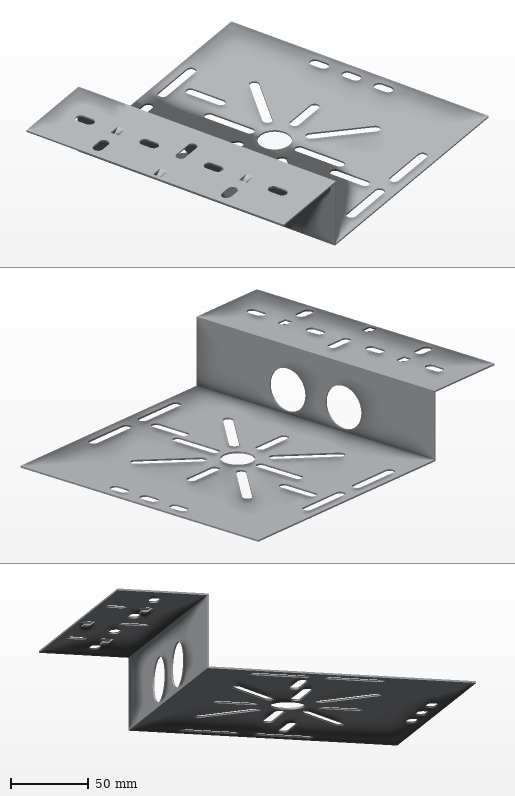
import cadquery as cq
import math

width = 200.0
length = 240.0
height = 49.5
sheet = 1.2
shelf_overhang = 60.0

back_y = length / 2
front_y = -length / 2
wall_front_y = front_y + shelf_overhang
wall_back_y = wall_front_y + sheet
shelf_bottom = height - sheet

long_slot_width = 6.7
short_slot_width = 7.2
short_slot = 14.0
slot_pitch = 25.0

hub_y = back_y - width / 2
hub_diameter = 22.5
star_distance = 35.0
star_length_x = 38.0
star_length_y = 30.0
diagonal_distance = 45.0
diagonal_length = 49.5

back_row_y = back_y - 10.0

side_slot_length = 39.8
side_slot_x = width / 2 - 10.0
side_slots_y = 16.0
side_slot_pitch = 50.2

cross_slot_length = 30.0
cross_slot_x = 65.0
left_cross_slot_y = hub_y + 17.3
right_cross_slot_y = hub_y - 9.8

cable_hole_diameter = 30.0
cable_hole_x = 23.5
cable_hole_z = 18.0

shelf_row_y = front_y + 31.0
center_slot_length = 20.2
center_slot_y = front_y + 37.0
front_slot_x = 2 * slot_pitch
front_slot_y = front_y + 12.0

tab_width = 6.0
tab_opening = 8.5
tab_gap = 0.7
tab_drop = 3.0
tab_ramp = 3.5
side_tab_x = 2 * slot_pitch
side_tab_y = front_y + 36.2
center_tab_y = front_y + 10.8


def slot(x, y, slot_length, angle=0.0, slot_width=long_slot_width):
    """Vertical cutter for a round-ended slot, tall enough for any level of the part."""
    return cq.Workplane("XY").center(x, y).slot2D(slot_length, slot_width, angle).extrude(height)


def make_sheet():
    profile = [
        (back_y, 0),
        (wall_front_y, 0),
        (wall_front_y, shelf_bottom),
        (front_y, shelf_bottom),
        (front_y, height),
        (wall_back_y, height),
        (wall_back_y, sheet),
        (back_y, sheet),
    ]
    return cq.Workplane("YZ").polyline(profile).close().extrude(width / 2, both=True)


def cut_base(part):
    part = part.cut(cq.Workplane("XY").center(0, hub_y).circle(hub_diameter / 2).extrude(sheet))

    for side in (-1, 1):
        part = part.cut(slot(side * star_distance, hub_y, star_length_x))
        part = part.cut(slot(0, hub_y + side * star_distance, star_length_y, 90))

    for angle in (45, 135, 225, 315):
        x = diagonal_distance * math.cos(math.radians(angle))
        y = hub_y + diagonal_distance * math.sin(math.radians(angle))
        part = part.cut(slot(x, y, diagonal_length, angle))

    for column in (-1, 0, 1):
        part = part.cut(slot(column * slot_pitch, back_row_y, short_slot, 0, short_slot_width))

    for side in (-1, 1):
        for end in (-1, 1):
            y = side_slots_y + end * side_slot_pitch / 2
            part = part.cut(slot(side * side_slot_x, y, side_slot_length, 90))

    part = part.cut(slot(-cross_slot_x, left_cross_slot_y, cross_slot_length))
    return part.cut(slot(cross_slot_x, right_cross_slot_y, cross_slot_length))


def cut_wall(part):
    holes = (
        cq.Workplane("XZ", origin=(0, wall_back_y, 0))
        .pushPoints([(-cable_hole_x, cable_hole_z), (cable_hole_x, cable_hole_z)])
        .circle(cable_hole_diameter / 2)
        .extrude(sheet)
    )
    return part.cut(holes)


def cut_shelf(part):
    for column in (-3, -1, 1, 3):
        part = part.cut(slot(column * slot_pitch, shelf_row_y, short_slot, 0, short_slot_width))
    for side in (-1, 1):
        part = part.cut(slot(side * front_slot_x, front_slot_y, short_slot, 90, short_slot_width))
    return part.cut(slot(0, center_slot_y, center_slot_length, 90))


def add_tab(part, x, root_y):
    """Cut a window in the shelf and fold its tab down, parallel to the shelf."""
    window = cq.Workplane("XY", origin=(x, root_y - tab_opening / 2, shelf_bottom)).box(
        tab_width, tab_opening, sheet, centered=(True, True, False)
    )
    ramp_end_y = root_y - tab_ramp
    tip_y = root_y - tab_opening + tab_gap
    profile = [
        (root_y, height),
        (ramp_end_y, height - tab_drop),
        (tip_y, height - tab_drop),
        (tip_y, shelf_bottom - tab_drop),
        (ramp_end_y, shelf_bottom - tab_drop),
        (root_y, shelf_bottom),
    ]
    tab = (
        cq.Workplane("YZ", origin=(x, 0, 0))
        .polyline(profile)
        .close()
        .extrude(tab_width / 2, both=True)
    )
    return part.cut(window).union(tab)


result = cut_shelf(cut_wall(cut_base(make_sheet())))
for tab_x, tab_y in ((-side_tab_x, side_tab_y), (side_tab_x, side_tab_y), (0, center_tab_y)):
    result = add_tab(result, tab_x, tab_y)